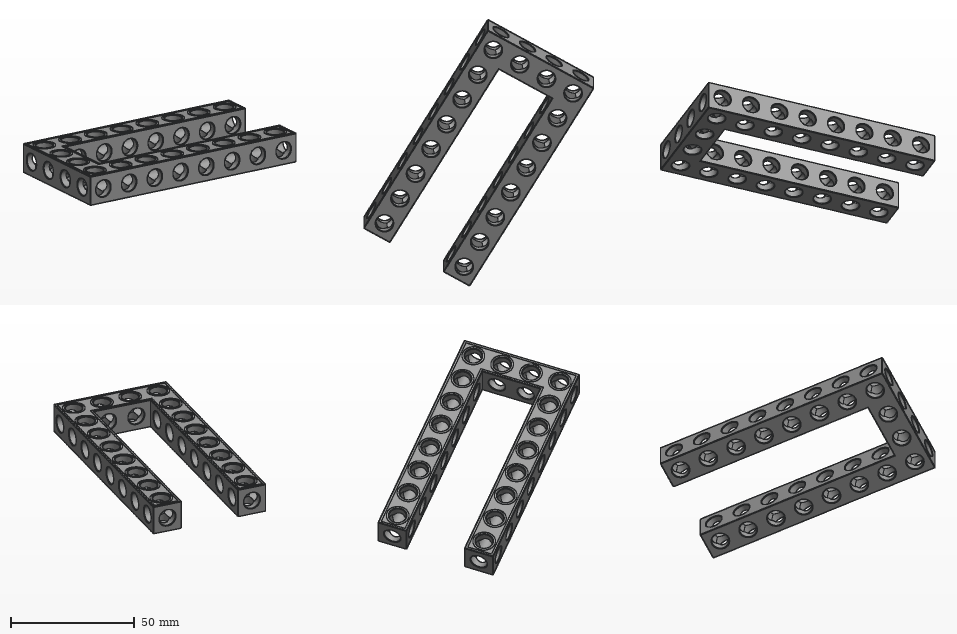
import cadquery as cq

pitch = 12.5
columns = 4
rows = 8
width = columns * pitch
length = rows * pitch
height = pitch

edge_chamfer = 0.3
bore_diameter = 7.0
bore_chamfer = 0.3

rim_width = 1.1
collar_diameter = 9.2
recess_depth = 0.2

column_centers = [(i - (columns - 1) / 2) * pitch for i in range(columns)]
row_centers = [(i - (rows - 1) / 2) * pitch for i in range(rows)]


def frame(inset, z_bottom, thickness):
    """U-shaped plate, open toward +Y, with every side moved inward by inset."""
    x_outer = width / 2 - inset
    x_inner = width / 2 - pitch + inset
    y_front = -length / 2 + inset
    y_web = -length / 2 + pitch - inset
    y_back = length / 2 - inset
    outline = [
        (-x_outer, y_front),
        (x_outer, y_front),
        (x_outer, y_back),
        (x_inner, y_back),
        (x_inner, y_web),
        (-x_inner, y_web),
        (-x_inner, y_back),
        (-x_outer, y_back),
    ]
    return cq.Workplane("XY", origin=(0, 0, z_bottom)).polyline(outline).close().extrude(thickness)


def vertical_centers():
    """Hole centers along the web and along both legs."""
    web = [(x, row_centers[0]) for x in column_centers]
    legs = [(x, y) for x in (column_centers[0], column_centers[-1]) for y in row_centers[1:]]
    return web + legs


def bore(depth):
    """Cutter along +Z from the origin, flared at both ends by the hole chamfer."""
    radius = bore_diameter / 2
    flared = radius + bore_chamfer
    profile = [
        (0, 0),
        (flared, 0),
        (radius, bore_chamfer),
        (radius, depth - bore_chamfer),
        (flared, depth),
        (0, depth),
    ]
    return cq.Workplane("XZ").polyline(profile).close().revolve(360, (0, 0, 0), (0, 1, 0))


def top_recess():
    """Floor area inside the rim, less the collars left standing around the holes."""
    floor = height / 2 - recess_depth
    collars = (
        cq.Workplane("XY", origin=(0, 0, floor))
        .pushPoints(vertical_centers())
        .circle(collar_diameter / 2)
        .extrude(recess_depth)
    )
    return frame(rim_width, floor, recess_depth).cut(collars)


result = frame(0, -height / 2, height).edges("#Z or (|Z and (<Y or >Y))").chamfer(edge_chamfer)
result = result.cut(top_recess())

z_bore = bore(pitch).translate((0, 0, -pitch / 2))
for x, y in vertical_centers():
    result = result.cut(z_bore.translate((x, y, 0)))

y_bore_web = bore(pitch).rotate((0, 0, 0), (1, 0, 0), -90)
y_bore_leg = bore(length).rotate((0, 0, 0), (1, 0, 0), -90)
for x in column_centers:
    y_bore = y_bore_leg if abs(x) > width / 2 - pitch else y_bore_web
    result = result.cut(y_bore.translate((x, -length / 2, 0)))

x_bore_leg = bore(pitch).rotate((0, 0, 0), (0, 1, 0), 90)
x_bore_web = bore(width).rotate((0, 0, 0), (0, 1, 0), 90)
result = result.cut(x_bore_web.translate((-width / 2, row_centers[0], 0)))
for y in row_centers[1:]:
    for x_start in (-width / 2, width / 2 - pitch):
        result = result.cut(x_bore_leg.translate((x_start, y, 0)))